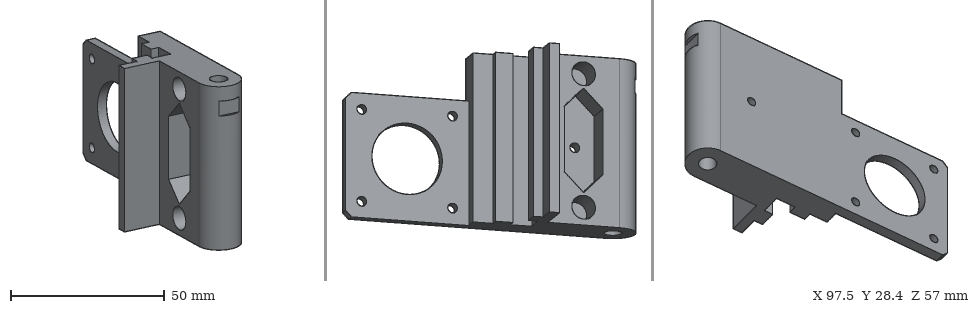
import cadquery as cq

height = 57.0
plate_size = 42.0
plate_thickness = 3.5
plate_chamfer = 2.0
motor_bore_diameter = 24.0
screw_diameter = 3.2
motor_screw_spacing = 31.0

seat_depth = 8.5
seat_length = 20.0
rail_wall_thickness = 3.5
rail_wall_reach = 28.45
rib_width = 5.9
rib_offset = 7.3
seat_rib_height = 3.0
wall_rib_offset = 7.0
wall_rib_height = 3.25

arm_thickness = 15.0
arm_radius = arm_thickness / 2
pin_diameter = 6.0
pin_x = 90.0
wall_x = plate_size + seat_length
arm_start_x = wall_x + rail_wall_thickness
end_x = pin_x + arm_radius

recess_x = (arm_start_x + pin_x) / 2
recess_z = height / 2
recess_depth = 10.0
pocket_width = 13.2
pocket_straight = 22.0
blind_hole_diameter = 8.0
blind_hole_spacing = 45.0

notch_depth = 1.05
notch_height = 5.2
notch_top_margin = 5.0


def bore_along_y(x, z, diameter, depth, start_y):
    """Cylinder starting at (x, start_y, z) and running toward +Y."""
    start = cq.Vector(x, start_y, z)
    toward_back = cq.Vector(0, 1, 0)
    return cq.Workplane(cq.Solid.makeCylinder(diameter / 2, depth, start, toward_back))


def motor_plate():
    """Square motor plate with two chamfered corners, a central bore and four screw holes."""
    plate = (
        cq.Workplane("XY")
        .box(plate_size, plate_thickness, plate_size, centered=False)
        .translate((0, -plate_thickness, 0))
        .edges("|Y and <X")
        .chamfer(plate_chamfer)
    )
    middle = plate_size / 2
    plate = plate.cut(bore_along_y(middle, middle, motor_bore_diameter, plate_thickness, -plate_thickness))
    for side_x in (-1, 1):
        for side_z in (-1, 1):
            x = middle + side_x * motor_screw_spacing / 2
            z = middle + side_z * motor_screw_spacing / 2
            plate = plate.cut(bore_along_y(x, z, screw_diameter, plate_thickness, -plate_thickness))
    return plate


def carriage_body():
    """Constant section: rail seat, ribbed wall and the arm with its rounded end."""
    rib_end = wall_x - rib_offset
    rib_start = rib_end - rib_width
    wall_rib_start = -seat_depth - wall_rib_offset
    wall_rib_end = wall_rib_start - rib_width
    section = (
        cq.Workplane("XY")
        .moveTo(plate_size, 0)
        .lineTo(plate_size, -seat_depth)
        .lineTo(rib_start, -seat_depth)
        .lineTo(rib_start, -seat_depth - seat_rib_height)
        .lineTo(rib_end, -seat_depth - seat_rib_height)
        .lineTo(rib_end, -seat_depth)
        .lineTo(wall_x, -seat_depth)
        .lineTo(wall_x, wall_rib_start)
        .lineTo(wall_x - wall_rib_height, wall_rib_start)
        .lineTo(wall_x - wall_rib_height, wall_rib_end)
        .lineTo(wall_x, wall_rib_end)
        .lineTo(wall_x, -rail_wall_reach)
        .lineTo(arm_start_x, -rail_wall_reach)
        .lineTo(arm_start_x, -arm_thickness)
        .lineTo(pin_x, -arm_thickness)
        .threePointArc((end_x, -arm_radius), (pin_x, 0))
        .close()
    )
    return section.extrude(height)


def pin_hole():
    """Vertical hinge pin hole through the rounded end."""
    return cq.Workplane("XY").center(pin_x, -arm_radius).circle(pin_diameter / 2).extrude(height)


def pointed_pocket():
    """Pocket with straight sides and 45 degree points at top and bottom."""
    half_width = pocket_width / 2
    shoulder = pocket_straight / 2
    tip = shoulder + half_width
    outline = [
        (half_width, shoulder),
        (0, tip),
        (-half_width, shoulder),
        (-half_width, -shoulder),
        (0, -tip),
        (half_width, -shoulder),
    ]
    pocket = cq.Workplane("XZ").polyline(outline).close().extrude(-recess_depth)
    return pocket.translate((recess_x, -arm_thickness, recess_z))


def end_notch():
    """Shallow flat notch across the rounded end."""
    notch = cq.Workplane("XY").box(notch_depth, arm_thickness, notch_height, centered=False)
    return notch.translate((end_x - notch_depth, -arm_thickness, height - notch_top_margin - notch_height))


def clamp_screw_hole():
    """Screw hole through the arm at the middle of the pocket."""
    return bore_along_y(recess_x, recess_z, screw_diameter, arm_thickness, -arm_thickness)


def blind_hole(side):
    """Flat-bottomed hole below (side = -1) or above (side = 1) the pocket."""
    z = recess_z + side * blind_hole_spacing / 2
    return bore_along_y(recess_x, z, blind_hole_diameter, recess_depth, -arm_thickness)


result = carriage_body().union(motor_plate())
result = result.cut(pin_hole()).cut(end_notch())
result = result.cut(pointed_pocket()).cut(clamp_screw_hole())
for side in (-1, 1):
    result = result.cut(blind_hole(side))